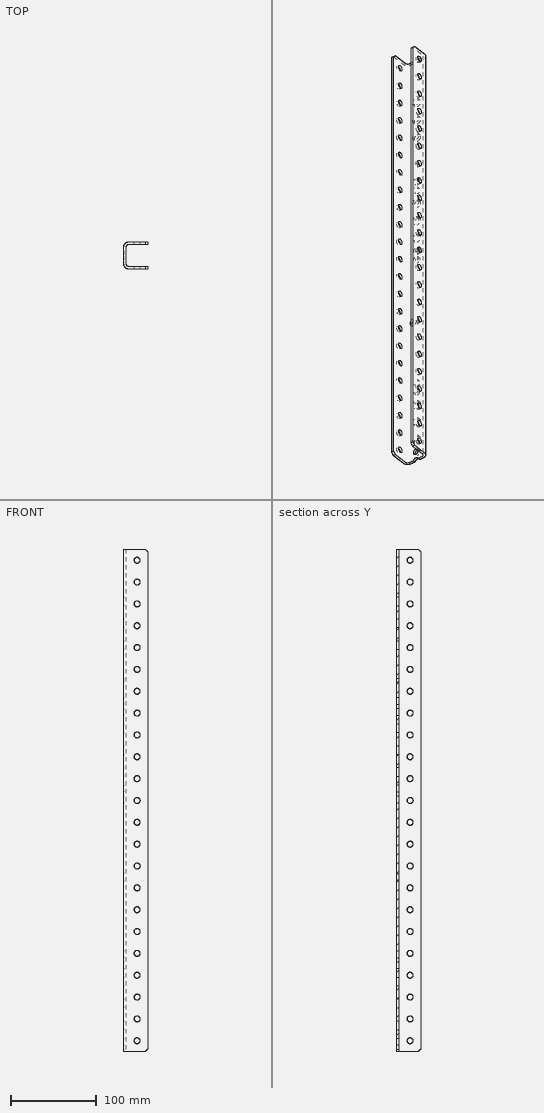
import cadquery as cq

DEPTH = 28.57
WIDTH = 31.75
LENGTH = 584.2
THICKNESS = 3.175
INNER_RADIUS = 3.175
CORNER_CHAMFER = 3.175
OUTER_RADIUS = INNER_RADIUS + THICKNESS

PITCH = 25.4
FLANGE_HOLE_DIAMETER = 6.71
FLANGE_HOLE_X = 15.875
FLANGE_HOLE_COUNT = round(LENGTH / PITCH)

LARGE_DIAMETER = 9.6
SMALL_DIAMETER = 7.37
PILOT_DIAMETER = 3.17
CLUSTER_BASES = (-1.2, 293.4)
SMALL_SPACING = PITCH / 2
SMALL_PAIR_OFFSETS = (0, 4 * PITCH)
LARGE_GROUP_OFFSET = 1.25 * PITCH
LARGE_GROUP_COUNT = 3
TOP_GROUP_BASE = 472.75
PILOT_HEIGHT = 431.8
OFFSET_HOLE_HEIGHT = 203.2
OFFSET_HOLE_Y = -3.5


def channel():
    """U-section with its web at X = 0, flanges toward +X and chamfered flange corners."""
    outer = (
        cq.Workplane("XY")
        .box(DEPTH, WIDTH, LENGTH, centered=(False, True, False))
        .edges("|Z and <X")
        .fillet(OUTER_RADIUS)
    )
    inner = (
        cq.Workplane("XY")
        .box(DEPTH, WIDTH - 2 * THICKNESS, LENGTH, centered=(False, True, False))
        .edges("|Z and <X")
        .fillet(INNER_RADIUS)
        .translate((THICKNESS, 0, 0))
    )
    section = outer.cut(inner)
    return section.edges("|Y and >X").chamfer(CORNER_CHAMFER)


def flange_drills():
    """One row of cylinders along Y that pierces both flanges."""
    points = [(FLANGE_HOLE_X, (i + 0.5) * PITCH) for i in range(FLANGE_HOLE_COUNT)]
    return (
        cq.Workplane("XZ")
        .pushPoints(points)
        .circle(FLANGE_HOLE_DIAMETER / 2)
        .extrude(WIDTH, both=True)
    )


def web_drills(points, diameter):
    """Cylinders along X that pierce the web at the given (Y, Z) points."""
    return (
        cq.Workplane("YZ")
        .pushPoints(points)
        .circle(diameter / 2)
        .extrude(DEPTH)
    )


large_group_bases = [base + LARGE_GROUP_OFFSET for base in CLUSTER_BASES]
large_group_bases.append(TOP_GROUP_BASE)
large_points = [
    (0, base + i * PITCH)
    for base in large_group_bases
    for i in range(LARGE_GROUP_COUNT)
]
large_points.append((OFFSET_HOLE_Y, OFFSET_HOLE_HEIGHT))

small_points = [
    (0, base + pair_offset + hole_offset)
    for base in CLUSTER_BASES
    for pair_offset in SMALL_PAIR_OFFSETS
    for hole_offset in (0, SMALL_SPACING)
]

result = (
    channel()
    .cut(flange_drills())
    .cut(web_drills(large_points, LARGE_DIAMETER))
    .cut(web_drills(small_points, SMALL_DIAMETER))
    .cut(web_drills([(0, PILOT_HEIGHT)], PILOT_DIAMETER))
)